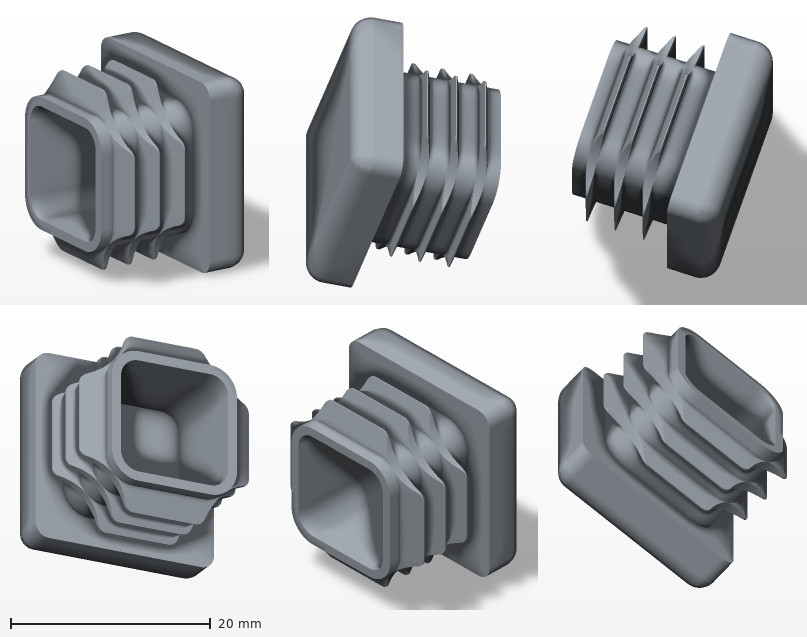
import cadquery as cq
import math


cap_width = 20.0
cap_thickness = 5.0
cap_corner_radius = 1.5
cap_edge_radius = 2.0

stem_width = 14.0
stem_corner_radius = 3.0
stem_length = 11.0
wall_thickness = 1.0

fin_count = 3
fin_pitch = 3.0
first_fin_gap = 2.6
fin_span = 19.0
fin_root_thickness = 1.0
fin_tip_thickness = 0.1
fin_relief_radius = 7.0
fin_tip_radius = 1.0

stem_half = stem_width / 2
bore_width = stem_width - 2 * wall_thickness
bore_corner_radius = stem_corner_radius - wall_thickness
fin_half_span = fin_span / 2
fin_run_per_drop = (fin_half_span - stem_half) / (fin_root_thickness - fin_tip_thickness)
fin_flare = fin_root_thickness * fin_run_per_drop


def xz_plane(y):
    """Sketch plane across the plug axis, extruding toward -Y."""
    return cq.Workplane("XZ", origin=(0, y, 0))


def rounded_square(width, radius, y, length, taper=0):
    """Square with rounded corners, extruded from y toward -Y."""
    outline = cq.Sketch().rect(width, width).vertices().fillet(radius)
    return xz_plane(y).placeSketch(outline).extrude(length, taper=taper)


def make_cap():
    """Square block with its back rounded over first, then the four corners."""
    block = xz_plane(cap_thickness).rect(cap_width, cap_width).extrude(cap_thickness)
    domed = block.faces(">Y").edges().fillet(cap_edge_radius)
    return domed.edges("|Y").fillet(cap_corner_radius)


def make_fin_outline(y):
    """Square plate whose corners are scooped out down to the stem corners."""
    diagonal = math.sqrt(2)
    stem_corner_reach = (stem_half - stem_corner_radius) * diagonal + stem_corner_radius
    relief_center = (stem_corner_reach + fin_relief_radius) / diagonal

    plate = xz_plane(y).rect(fin_span, fin_span).extrude(fin_root_thickness)
    reliefs = (
        xz_plane(y)
        .rect(2 * relief_center, 2 * relief_center, forConstruction=True)
        .vertices()
        .circle(fin_relief_radius)
        .extrude(fin_root_thickness)
    )
    return plate.cut(reliefs).edges("|Y").fillet(fin_tip_radius)


def make_fin(y):
    """Fin ring with its flat side at y, sloping down to the stem toward -Y."""
    slope_angle = math.degrees(math.atan(fin_run_per_drop))
    flare = rounded_square(
        stem_width + 2 * fin_flare,
        stem_corner_radius + fin_flare,
        y,
        fin_root_thickness,
        taper=slope_angle,
    )
    return make_fin_outline(y).intersect(flare)


plug = make_cap().union(rounded_square(stem_width, stem_corner_radius, 0, stem_length))
for index in range(fin_count):
    plug = plug.union(make_fin(-first_fin_gap - index * fin_pitch))

bore = rounded_square(bore_width, bore_corner_radius, 0, stem_length)
result = plug.cut(bore)